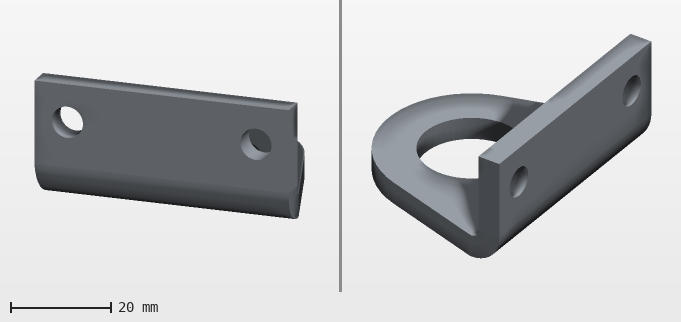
import cadquery as cq
import math

width = 54.0
depth = 44.95
height = 25.0
thickness = 5.0
inner_bend_radius = 2.5
bend_narrowing = 0.7
eye_radius = 20.0
eye_bore_diameter = 22.1
mount_hole_diameter = 6.6
mount_hole_spacing = 40.0
mount_hole_drop = 8.0
cutter_margin = 0.55

outer_bend_radius = inner_bend_radius + thickness
bend_axis = outer_bend_radius
half_width = width / 2
plate_half_width = half_width - bend_narrowing
eye_y = depth - eye_radius


def make_flange():
    """Upright plate with two mounting holes."""
    flange_height = height - bend_axis
    flange = cq.Workplane("XY").box(width, thickness, flange_height, centered=(True, False, False))
    flange = flange.translate((0, 0, bend_axis))
    holes = (
        cq.Workplane("XZ", origin=(0, 0, height - mount_hole_drop))
        .pushPoints([(-mount_hole_spacing / 2, 0), (mount_hole_spacing / 2, 0)])
        .circle(mount_hole_diameter / 2)
        .extrude(-thickness)
    )
    return flange.cut(holes)


def side_curve(radius):
    """Helical edge at one radius, moving inward evenly with the bend angle."""

    def point(fraction):
        angle = fraction * math.pi / 2
        return (
            half_width - bend_narrowing * fraction,
            bend_axis - radius * math.cos(angle),
            bend_axis - radius * math.sin(angle),
        )

    return cq.Workplane("XY").parametricCurve(point, makeWire=False).val()


def make_bend():
    """Quarter bend whose ends narrow from the flange to the plate."""
    diagonal = math.sqrt(0.5)
    outer_middle = bend_axis - outer_bend_radius * diagonal
    inner_middle = bend_axis - inner_bend_radius * diagonal
    bend = (
        cq.Workplane("YZ", origin=(-half_width, 0, 0))
        .moveTo(0, bend_axis)
        .threePointArc((outer_middle, outer_middle), (bend_axis, 0))
        .lineTo(bend_axis, thickness)
        .threePointArc((inner_middle, inner_middle), (thickness, bend_axis))
        .close()
        .extrude(width)
    )
    twisted_face = cq.Face.makeRuledSurface(
        side_curve(inner_bend_radius - cutter_margin),
        side_curve(outer_bend_radius + cutter_margin),
    )
    cutter_length = bend_narrowing + cutter_margin
    cutter = cq.Workplane(cq.Solid.extrudeLinear(twisted_face, cq.Vector(cutter_length, 0, 0)))
    return bend.cut(cutter).cut(cutter.mirror("YZ"))


def make_eye_plate():
    """Horizontal plate with straight sides running tangent into a bored eye."""
    corner_drop = eye_y - bend_axis
    corner_distance = math.hypot(plate_half_width, corner_drop)
    tangent_angle = math.acos(eye_radius / corner_distance) - math.atan2(corner_drop, plate_half_width)
    tangent_x = eye_radius * math.cos(tangent_angle)
    tangent_y = eye_y + eye_radius * math.sin(tangent_angle)
    plate = (
        cq.Workplane("XY")
        .moveTo(-plate_half_width, bend_axis)
        .lineTo(plate_half_width, bend_axis)
        .lineTo(tangent_x, tangent_y)
        .threePointArc((0, depth), (-tangent_x, tangent_y))
        .close()
        .extrude(thickness)
    )
    bore = cq.Workplane("XY").center(0, eye_y).circle(eye_bore_diameter / 2).extrude(thickness)
    return plate.cut(bore)


result = make_flange().union(make_bend()).union(make_eye_plate())